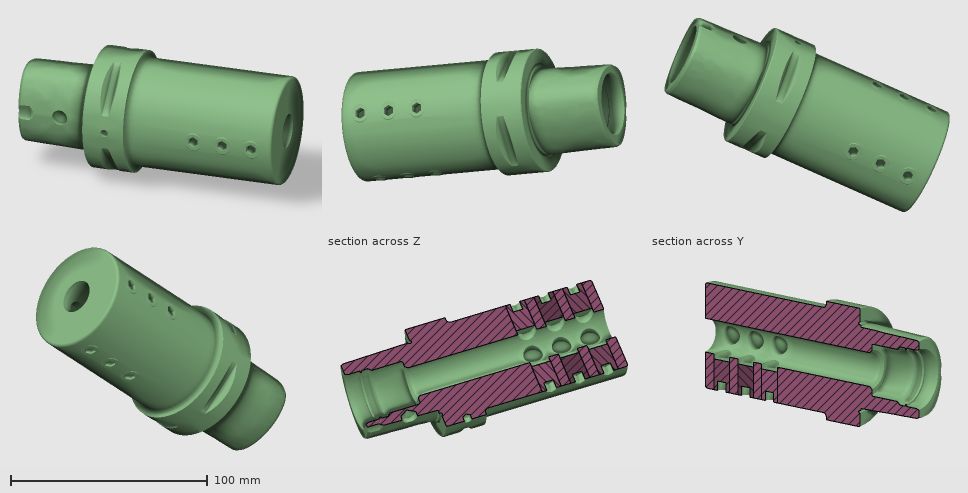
import cadquery as cq
import math

TOTAL_LENGTH = 138.0

SHANK_LENGTH = 35.9
SHANK_MEAN_DIAMETER = 44.0
SHANK_MEAN_RADIUS = SHANK_MEAN_DIAMETER / 2
LOBE_HEIGHT = 1.4
TAPER = 1 / 40
SHANK_CHAMFER_LENGTH = 1.4
SHANK_CHAMFER_DEPTH = 0.7
OUTLINE_POINTS = 48

NECK_RADIUS = 22.8
NECK_START = 37.4
FLANGE_START = 38.1
FLANGE_WIDTH = 22.0
FLANGE_DIAMETER = 63.0
FLANGE_RADIUS = FLANGE_DIAMETER / 2
FLANGE_CHAMFER = 0.4
FACE_GROOVE_RADIUS = 0.7
BODY_RADIUS = 28.0
BODY_FILLET = 2.0
BODY_END_ROUND = 1.4
FLANGE_END = FLANGE_START + FLANGE_WIDTH

ENTRY_RADIUS = 16.0
ENTRY_CHAMFER_LENGTH = 1.8
ENTRY_BORE_RADIUS = 15.3
ENTRY_BORE_END = 7.9
LIP_RADIUS = 14.4
LIP_WIDTH = 1.1
RELIEF_END = 12.3
MIDDLE_BORE_RADIUS = 13.7
MIDDLE_BORE_END = 30.4
MIDDLE_BORE_CHAMFER = 0.5
THROUGH_CHAMFER_RADIUS = 10.2
THROUGH_RADIUS = 8.8

GRIP_CENTRE_X = 50.0
GRIP_FLOOR_WIDTH = 3.5
GRIP_FLOOR_DISTANCE = 27.7
GRIP_FLANK_ANGLE = 30.0
GRIP_ANGLES = (45, 135, 225, 315)

DRILL_POINT_ANGLE = 118.0
SHANK_HOLE_X = 22.5
SHANK_HOLE_RADIUS = 4.0
SHANK_HOLE_DEPTH = 2.8
FLANGE_HOLE_RADIUS = 2.0
FLANGE_HOLE_DEPTH = 2.8

NOTCH_RADIUS = 6.2
NOTCH_FLOOR_DISTANCE = 18.2
NOTCH_LENGTH = 6.2
NOTCH_POINT_LENGTH = 7.5

SCREW_RADIUS = 5.0
SCREW_CHAMFER = 0.5
SCREW_LENGTH = 16.5
SCREW_PITCH = 15.5
LAST_SCREW_X = 127.4
SCREWS_PER_ROW = 3
SCREW_ROW_ANGLES = (0, 90, 180)
HEX_ACROSS_FLATS = 5.0
HEX_DEPTH = 5.0


def turned(profile):
    """Revolve an (x, radius) profile around the tool axis."""
    return profile.close().revolve(360, (0, 0, 0), (1, 0, 0))


def lobed_outline(x, mean_radius):
    """Closed three-lobed wire in the plane at x, with one lobe pointing along +Y."""
    points = []
    for i in range(OUTLINE_POINTS):
        angle = 2 * math.pi * i / OUTLINE_POINTS
        support = mean_radius + LOBE_HEIGHT * math.cos(3 * angle)
        slope = -3 * LOBE_HEIGHT * math.sin(3 * angle)
        y = support * math.cos(angle) - slope * math.sin(angle)
        z = support * math.sin(angle) + slope * math.cos(angle)
        points.append(cq.Vector(x, y, z))
    return cq.Wire.assembleEdges([cq.Edge.makeSpline(points, periodic=True)])


def tapered_radius(x):
    """Mean radius of the shank at x."""
    return SHANK_MEAN_RADIUS - TAPER * (SHANK_LENGTH - x)


def make_shank():
    tip = lobed_outline(0, tapered_radius(0) - SHANK_CHAMFER_DEPTH)
    chamfer_end = lobed_outline(SHANK_CHAMFER_LENGTH, tapered_radius(SHANK_CHAMFER_LENGTH))
    large_end = lobed_outline(SHANK_LENGTH, SHANK_MEAN_RADIUS)
    chamfer = cq.Solid.makeLoft([tip, chamfer_end], True)
    cone = cq.Solid.makeLoft([chamfer_end, large_end], True)
    return cq.Workplane(chamfer).union(cq.Workplane(cone))


def make_shank_root():
    """Straight lobed length behind the taper, turned down to the neck radius."""
    outline = lobed_outline(SHANK_LENGTH, SHANK_MEAN_RADIUS)
    root_length = NECK_START - SHANK_LENGTH
    lobes = cq.Solid.extrudeLinear(outline, [], cq.Vector(root_length, 0, 0))
    limit = turned(
        cq.Workplane("XY")
        .moveTo(SHANK_LENGTH, 0)
        .lineTo(SHANK_LENGTH, NECK_RADIUS + root_length)
        .lineTo(NECK_START, NECK_RADIUS)
        .lineTo(NECK_START, 0)
    )
    return limit.intersect(cq.Workplane(lobes))


def make_turned_body():
    """Neck, flange and cylindrical body as one turned shape."""
    groove_outer = NECK_RADIUS + 2 * FACE_GROOVE_RADIUS
    fillet_mid = BODY_FILLET * (1 - math.sqrt(0.5))
    round_mid = BODY_END_ROUND * (1 - math.sqrt(0.5))
    return turned(
        cq.Workplane("XY")
        .moveTo(NECK_START, 0)
        .lineTo(NECK_START, NECK_RADIUS)
        .lineTo(FLANGE_START, NECK_RADIUS)
        .threePointArc(
            (FLANGE_START + FACE_GROOVE_RADIUS, NECK_RADIUS + FACE_GROOVE_RADIUS),
            (FLANGE_START, groove_outer),
        )
        .lineTo(FLANGE_START, FLANGE_RADIUS - FLANGE_CHAMFER)
        .lineTo(FLANGE_START + FLANGE_CHAMFER, FLANGE_RADIUS)
        .lineTo(FLANGE_END, FLANGE_RADIUS)
        .lineTo(FLANGE_END, BODY_RADIUS + BODY_FILLET)
        .threePointArc(
            (FLANGE_END + fillet_mid, BODY_RADIUS + fillet_mid),
            (FLANGE_END + BODY_FILLET, BODY_RADIUS),
        )
        .lineTo(TOTAL_LENGTH - BODY_END_ROUND, BODY_RADIUS)
        .threePointArc(
            (TOTAL_LENGTH - round_mid, BODY_RADIUS - round_mid),
            (TOTAL_LENGTH, BODY_RADIUS - BODY_END_ROUND),
        )
        .lineTo(TOTAL_LENGTH, 0)
    )


def make_bore():
    lip_end = ENTRY_BORE_END + LIP_WIDTH
    through_start = MIDDLE_BORE_END + THROUGH_CHAMFER_RADIUS - THROUGH_RADIUS
    return turned(
        cq.Workplane("XY")
        .lineTo(0, ENTRY_RADIUS)
        .lineTo(ENTRY_CHAMFER_LENGTH, ENTRY_BORE_RADIUS)
        .lineTo(ENTRY_BORE_END, ENTRY_BORE_RADIUS)
        .lineTo(ENTRY_BORE_END, LIP_RADIUS)
        .lineTo(lip_end, LIP_RADIUS)
        .lineTo(lip_end, ENTRY_BORE_RADIUS)
        .lineTo(RELIEF_END, ENTRY_BORE_RADIUS)
        .lineTo(RELIEF_END + ENTRY_BORE_RADIUS - MIDDLE_BORE_RADIUS, MIDDLE_BORE_RADIUS)
        .lineTo(MIDDLE_BORE_END - MIDDLE_BORE_CHAMFER, MIDDLE_BORE_RADIUS)
        .lineTo(MIDDLE_BORE_END, MIDDLE_BORE_RADIUS - MIDDLE_BORE_CHAMFER)
        .lineTo(MIDDLE_BORE_END, THROUGH_CHAMFER_RADIUS)
        .lineTo(through_start, THROUGH_RADIUS)
        .lineTo(TOTAL_LENGTH, THROUGH_RADIUS)
        .lineTo(TOTAL_LENGTH, 0)
    )


def make_grip_groove(angle):
    """Straight flared groove across the flange rim, at an angle around the tool axis."""
    depth = FLANGE_RADIUS - GRIP_FLOOR_DISTANCE
    half_floor = GRIP_FLOOR_WIDTH / 2
    half_mouth = half_floor + depth * math.tan(math.radians(GRIP_FLANK_ANGLE))
    groove = (
        cq.Workplane("XY")
        .moveTo(GRIP_CENTRE_X - half_floor, GRIP_FLOOR_DISTANCE)
        .lineTo(GRIP_CENTRE_X + half_floor, GRIP_FLOOR_DISTANCE)
        .lineTo(GRIP_CENTRE_X + half_mouth, FLANGE_RADIUS)
        .lineTo(GRIP_CENTRE_X - half_mouth, FLANGE_RADIUS)
        .close()
        .extrude(FLANGE_RADIUS, both=True)
    )
    return groove.rotate((0, 0, 0), (1, 0, 0), angle)


def make_drilled_hole(x, radius, surface_distance, depth):
    """Blind hole entering from -Y, with a conical drill point."""
    point_length = radius / math.tan(math.radians(DRILL_POINT_ANGLE / 2))
    floor_y = depth - surface_distance
    return (
        cq.Workplane("XY")
        .moveTo(x, -FLANGE_RADIUS)
        .lineTo(x + radius, -FLANGE_RADIUS)
        .lineTo(x + radius, floor_y)
        .lineTo(x, floor_y + point_length)
        .close()
        .revolve(360, (x, 0, 0), (x, 1, 0))
    )


def make_notch():
    """Cylindrical cut along X with a conical end, opening at the shank end."""
    centre_y = -(NOTCH_FLOOR_DISTANCE + NOTCH_RADIUS)
    return (
        cq.Workplane("XY")
        .moveTo(0, centre_y)
        .lineTo(0, centre_y + NOTCH_RADIUS)
        .lineTo(NOTCH_LENGTH, centre_y + NOTCH_RADIUS)
        .lineTo(NOTCH_LENGTH + NOTCH_POINT_LENGTH, centre_y)
        .close()
        .revolve(360, (0, centre_y, 0), (1, centre_y, 0))
    )


def make_screw_blank():
    """Set screw without its socket: outer end at the origin, axis along +Y."""
    return (
        cq.Workplane("XY")
        .lineTo(SCREW_RADIUS - SCREW_CHAMFER, 0)
        .lineTo(SCREW_RADIUS, SCREW_CHAMFER)
        .lineTo(SCREW_RADIUS, SCREW_LENGTH)
        .lineTo(0, SCREW_LENGTH)
        .close()
        .revolve(360, (0, 0, 0), (0, 1, 0))
    )


def make_set_screw():
    """Set screw with its hexagon socket, corners pointing along Z."""
    corner_diameter = HEX_ACROSS_FLATS / math.cos(math.pi / 6)
    socket = (
        cq.Workplane("XZ")
        .transformed(rotate=(0, 0, 90))
        .polygon(6, corner_diameter)
        .extrude(-HEX_DEPTH)
    )
    return make_screw_blank().cut(socket)


def make_screw_hole():
    """Hole that fits the set screw and runs on into the bore."""
    run_out = (
        cq.Workplane("XZ", origin=(0, SCREW_LENGTH, 0))
        .circle(SCREW_RADIUS)
        .extrude(-(BODY_RADIUS - SCREW_LENGTH))
    )
    return make_screw_blank().union(run_out)


def place_screw_shape(shape, index, row_angle):
    """Move a shape from the origin to one screw position on the body."""
    x = LAST_SCREW_X - index * SCREW_PITCH
    return shape.translate((x, -BODY_RADIUS, 0)).rotate((0, 0, 0), (1, 0, 0), row_angle)


def make_housing():
    housing = make_turned_body().union(make_shank_root()).union(make_shank())
    housing = housing.cut(make_bore()).cut(make_notch())

    shank_surface = tapered_radius(SHANK_HOLE_X) - LOBE_HEIGHT
    housing = housing.cut(
        make_drilled_hole(SHANK_HOLE_X, SHANK_HOLE_RADIUS, shank_surface, SHANK_HOLE_DEPTH)
    )
    housing = housing.cut(
        make_drilled_hole(GRIP_CENTRE_X, FLANGE_HOLE_RADIUS, FLANGE_RADIUS, FLANGE_HOLE_DEPTH)
    )

    for angle in GRIP_ANGLES:
        housing = housing.cut(make_grip_groove(angle))

    screw_hole = make_screw_hole()
    for row_angle in SCREW_ROW_ANGLES:
        for index in range(SCREWS_PER_ROW):
            housing = housing.cut(place_screw_shape(screw_hole, index, row_angle))
    return housing


def make_set_screws():
    screw = make_set_screw()
    screws = []
    for row_angle in SCREW_ROW_ANGLES:
        for index in range(SCREWS_PER_ROW):
            screws.append(place_screw_shape(screw, index, row_angle).val())
    return screws


housing = make_housing()
set_screws = make_set_screws()

result = cq.Compound.makeCompound([housing.val(), *set_screws])